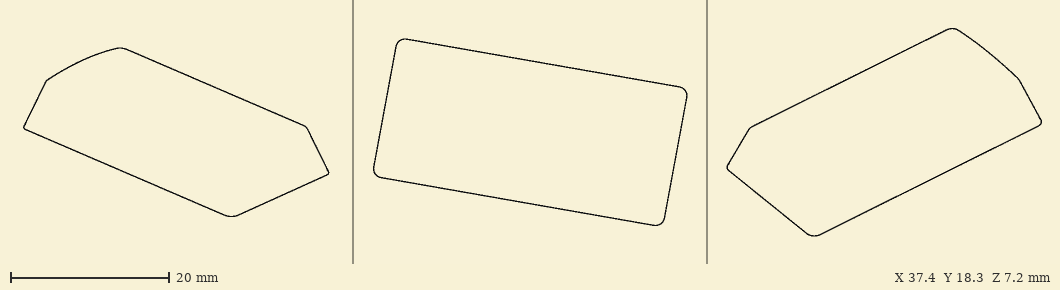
import cadquery as cq

LENGTH = 37.35
WIDTH = 18.3
HEIGHT = 7.2
DRAFT = 17.3
CORNER_RADIUS = 1.25
CROWN_RADIUS = 30.0
RIM_RADIUS = 0.6


def tapered_block():
    """Solid with four leaning walls and rounded wall corners, base on Z = 0."""
    block = cq.Workplane("XY").rect(LENGTH, WIDTH).extrude(HEIGHT, taper=DRAFT)
    wall_corners = block.edges("not(|X or |Y)")
    return wall_corners.fillet(CORNER_RADIUS)


def crown_cylinder():
    """Cylinder along X whose highest line is the crown of the top."""
    return (
        cq.Workplane("YZ", origin=(-LENGTH / 2, 0, HEIGHT - CROWN_RADIUS))
        .circle(CROWN_RADIUS)
        .extrude(LENGTH)
    )


def round_rim(body):
    """Round the closed rim around the crowned top face."""
    return body.faces(">Z").edges().fillet(RIM_RADIUS)


crowned_body = tapered_block().intersect(crown_cylinder())
result = round_rim(crowned_body)